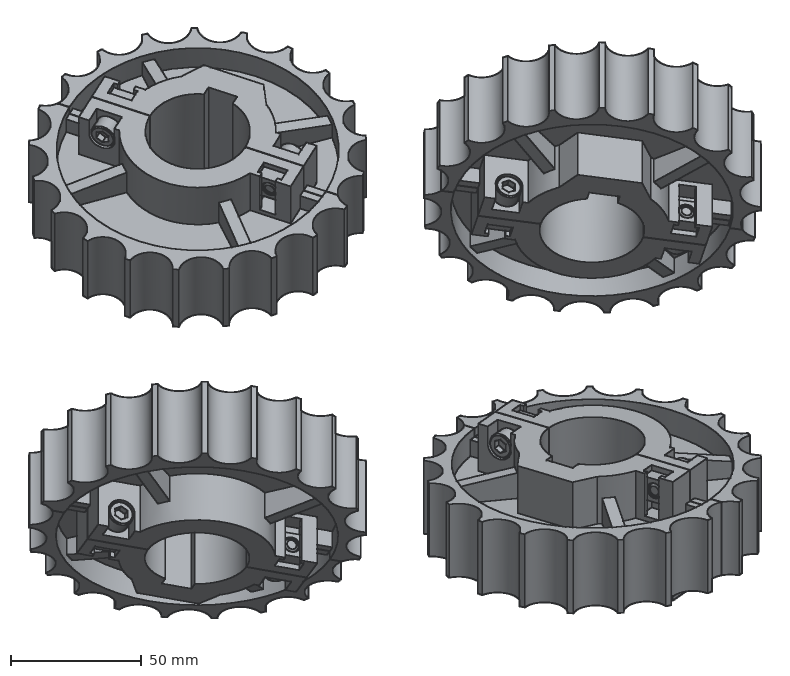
import cadquery as cq
import math


TOOTH_COUNT = 21
OVERALL_WIDTH = 129.3
ROLLER_RADIUS = 8.8
ROLLER_PITCH_RADIUS = 66.5
RIM_INNER_RADIUS = 54.0
RIM_WIDTH = 31.5

HUB_WIDTH = 51.0
HUB_RADIUS = 30.0
BORE_RADIUS = 20.0
KEY_BOSS_TOP = 33.2
KEY_BOSS_TOP_WIDTH = 25.2
KEY_BOSS_SIDE_ANGLE = 60
KEYWAY_WIDTH = 12.0
KEYWAY_TOP = 23.1

WEB_THICKNESS = 10.3
RIB_WIDTH = 5.0
RIB_HUB_HEIGHT = 16.2
RIB_RIM_HEIGHT = 12.3
SPLIT_RIB_WIDTH = 6.3
SPLIT_RIB_HEIGHT = 12.2

LUG_SPAN = 89.2
LUG_DEPTH = 23.9
SPLIT_GAP = 0.3

BOLT_X = 34.9
BOLT_Z = 18.2
SHANK_RADIUS = 3.0
SHANK_CHAMFER = 1.0
HEAD_RADIUS = 5.0
HEAD_LENGTH = 6.3
HEAD_CHAMFER = 0.5
SOCKET_ACROSS_FLATS = 5.0
SOCKET_DEPTH = 3.0
HEAD_SEAT_Y = 5.0
HEAD_POCKET_WIDTH = 10.6
NUT_SIZE = 10.0
NUT_HOLE_CHAMFER = 0.3
NUT_INNER_Y = 4.5
NUT_OUTER_Y = 10.1
NUT_POCKET_FLOOR_Z = 7.2
BOLT_SLOT_WIDTH = 6.6

HUB_TOP = HUB_WIDTH / 2
LUG_FACE_Y = LUG_DEPTH / 2
NUT_THICKNESS = NUT_OUTER_Y - NUT_INNER_Y

QUARTER_PITCH = math.radians(360 / TOOTH_COUNT / 4)
EXTREME_X = OVERALL_WIDTH / 2
EXTREME_Y = ROLLER_PITCH_RADIUS * math.sin(QUARTER_PITCH) - math.sqrt(
    ROLLER_RADIUS**2 - (EXTREME_X - ROLLER_PITCH_RADIUS * math.cos(QUARTER_PITCH)) ** 2
)
TIP_RADIUS = math.hypot(EXTREME_X, EXTREME_Y)

CLEAR = 6.5
OVERLAP = 1.3


def disc(radius, height):
    return cq.Workplane("XY").circle(radius).extrude(height / 2, both=True)


def block(x_range, y_range, z_range):
    size = [high - low for low, high in (x_range, y_range, z_range)]
    corner = (x_range[0], y_range[0], z_range[0])
    return cq.Workplane("XY").box(*size, centered=False).translate(corner)


def y_cylinder(radius, y_start, y_end):
    """Cylinder along Y on the axis of the bolt in the +X, +Z corner."""
    plane = cq.Plane(origin=(BOLT_X, y_start, BOLT_Z), xDir=(1, 0, 0), normal=(0, 1, 0))
    return cq.Workplane(plane).circle(radius).extrude(y_end - y_start)


def at_all_corners(shape):
    """Copies of a +X, +Z bolt feature: turned half round Z, and each mirrored to -Z."""
    copies = []
    for turn in (0, 180):
        upper = shape.rotate((0, 0, 0), (0, 0, 1), turn)
        copies += [upper, upper.mirror("XY")]
    return copies



def toothed_rim():
    rim = disc(TIP_RADIUS, RIM_WIDTH).cut(disc(RIM_INNER_RADIUS, RIM_WIDTH))
    rollers = (
        cq.Workplane("XY")
        .polarArray(ROLLER_PITCH_RADIUS, 90, 360, TOOTH_COUNT)
        .circle(ROLLER_RADIUS)
        .extrude(RIM_WIDTH / 2, both=True)
    )
    return rim.cut(rollers)


def key_boss():
    """Flat-topped boss over the keyway, its sloping sides running down into the round hub."""
    half_top = KEY_BOSS_TOP_WIDTH / 2
    base_y = KEY_BOSS_TOP / 2
    half_base = half_top + (KEY_BOSS_TOP - base_y) / math.tan(math.radians(KEY_BOSS_SIDE_ANGLE))
    outline = [
        (-half_top, KEY_BOSS_TOP),
        (half_top, KEY_BOSS_TOP),
        (half_base, base_y),
        (-half_base, base_y),
    ]
    return cq.Workplane("XY").polyline(outline).close().extrude(HUB_TOP, both=True)


def hub():
    lugs = cq.Workplane("XY").box(LUG_SPAN, LUG_DEPTH, HUB_WIDTH)
    return disc(HUB_RADIUS, HUB_WIDTH).union(key_boss()).union(lugs)


def ribs():
    """Four sloping diagonal ribs and a pair of level ribs along the split, on both web faces."""
    root_radius = HUB_RADIUS - OVERLAP
    end_radius = RIM_INNER_RADIUS + OVERLAP
    slope = (RIB_RIM_HEIGHT - RIB_HUB_HEIGHT) / (RIM_INNER_RADIUS - HUB_RADIUS)
    root_height = RIB_HUB_HEIGHT - slope * (HUB_RADIUS - root_radius)
    end_height = RIB_HUB_HEIGHT + slope * (end_radius - HUB_RADIUS)
    profile = [
        (root_radius, -root_height),
        (end_radius, -end_height),
        (end_radius, end_height),
        (root_radius, root_height),
    ]
    rib = cq.Workplane("XZ").polyline(profile).close().extrude(RIB_WIDTH / 2, both=True)
    all_ribs = cq.Workplane("XY").box(2 * end_radius, SPLIT_RIB_WIDTH, 2 * SPLIT_RIB_HEIGHT)
    for angle in (45, 135, 225, 315):
        all_ribs = all_ribs.union(rib.rotate((0, 0, 0), (0, 0, 1), angle))
    return all_ribs


def shaft_opening():
    half_width = KEYWAY_WIDTH / 2
    through = (-HUB_TOP, HUB_TOP)
    keyway = block((-half_width, half_width), (0, KEYWAY_TOP), through)
    return disc(BORE_RADIUS, HUB_WIDTH).union(keyway)


def bolt_seat():
    """Space for one bolt and nut: shank hole, round-bottomed head pocket, nut pocket and slot."""
    open_top = HUB_TOP + CLEAR
    open_side = LUG_FACE_Y + CLEAR
    head_half = HEAD_POCKET_WIDTH / 2
    nut_half = NUT_SIZE / 2
    slot_half = BOLT_SLOT_WIDTH / 2
    shank_hole = y_cylinder(SHANK_RADIUS, -NUT_OUTER_Y, HEAD_SEAT_Y)
    head_round = y_cylinder(head_half, HEAD_SEAT_Y, open_side)
    head_slot = block(
        (BOLT_X - head_half, BOLT_X + head_half), (HEAD_SEAT_Y, open_side), (BOLT_Z, open_top)
    )
    nut_pocket = block(
        (BOLT_X - nut_half, BOLT_X + nut_half),
        (-NUT_OUTER_Y, -NUT_INNER_Y),
        (NUT_POCKET_FLOOR_Z, open_top),
    )
    end_slot = block(
        (BOLT_X - slot_half, BOLT_X + slot_half),
        (-open_side, -NUT_OUTER_Y),
        (NUT_POCKET_FLOOR_Z, open_top),
    )
    return shank_hole.union(head_round).union(head_slot).union(nut_pocket).union(end_slot)


def whole_wheel():
    web = disc(RIM_INNER_RADIUS + OVERLAP, WEB_THICKNESS)
    wheel = toothed_rim().union(web).union(ribs()).union(hub()).cut(shaft_opening())
    for seat in at_all_corners(bolt_seat()):
        wheel = wheel.cut(seat)
    return wheel


def sprocket_half(wheel, side):
    """The part of the wheel on the +Y (side = 1) or -Y (side = -1) side of the split."""
    reach = TIP_RADIUS + CLEAR
    centre_y = side * (reach + SPLIT_GAP) / 2
    region = cq.Workplane("XY").box(2 * reach, reach, HUB_WIDTH).translate((0, centre_y, 0))
    return wheel.intersect(region)



def bolt():
    """Socket-head bolt with its head toward +Y and its tip flush with the outer nut face."""
    head_end = HEAD_SEAT_Y + HEAD_LENGTH
    head = y_cylinder(HEAD_RADIUS, HEAD_SEAT_Y, head_end).faces(">Y").chamfer(HEAD_CHAMFER)
    shank = y_cylinder(SHANK_RADIUS, -NUT_OUTER_Y, HEAD_SEAT_Y).faces("<Y").chamfer(SHANK_CHAMFER)
    across_corners = SOCKET_ACROSS_FLATS / math.cos(math.radians(30))
    plane = cq.Plane(origin=(BOLT_X, head_end, BOLT_Z), xDir=(0, 0, 1), normal=(0, -1, 0))
    socket = cq.Workplane(plane).polygon(6, across_corners).extrude(SOCKET_DEPTH)
    return head.union(shank).cut(socket)


def nut():
    """Square nut with a round hole chamfered on the outer face."""
    centre = (BOLT_X, -(NUT_INNER_Y + NUT_OUTER_Y) / 2, BOLT_Z)
    body = cq.Workplane("XY").box(NUT_SIZE, NUT_THICKNESS, NUT_SIZE).translate(centre)
    body = body.cut(y_cylinder(SHANK_RADIUS, -NUT_OUTER_Y, -NUT_INNER_Y))
    return body.faces("<Y").edges("%CIRCLE").chamfer(NUT_HOLE_CHAMFER)


wheel = whole_wheel()
halves = [sprocket_half(wheel, side) for side in (1, -1)]
bolts = at_all_corners(bolt())
nuts = at_all_corners(nut())

result = cq.Compound.makeCompound([body.solids().val() for body in halves + bolts + nuts])